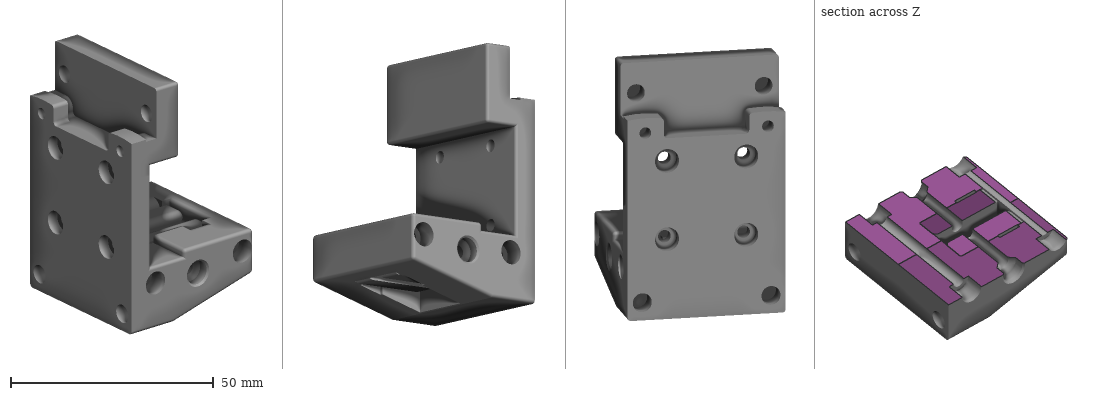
import cadquery as cq
import math

width = 40.0
depth = 38.5
height = 63.8
half_width = width / 2
seam_x = 0.6

plate_thickness = 6.0
ledge_height = 16.45
foot_height = 18.45
foot_step_y = 16.5
slope_start_y = 13.35
slope_angle = 15.0
slope_end_z = (depth - slope_start_y) * math.tan(math.radians(slope_angle))
block_front_y = 7.8
block_back_y = 15.05
block_bottom_z = 43.75
foot_edge_radius = 0.9
upper_edge_radius = 0.75
edge_search_distance = 0.75

notch_floor_z = 46.1
lug_depth = 4.6
lug_inner_x = 10.8
lug_corner_radius = 0.95
lug_side_z = 51.1
lug_crown_z = 51.55
lug_crown_x = 15.55
lug_shoulder_z = 51.35
boss_top_z = 50.5
boss_flat_x = 15.7
boss_radius = 2.95
boss_root_radius = 1.1

slot_half_width = 7.9
slot_front_y = 13.9
slot_back_y = 34.4
slot_lip_radius = 0.95
pocket_front_y = 25.8
pocket_back_y = 32.0
pocket_outer_x = 11.7
pocket_wall_x = 8.7
pocket_radius = pocket_outer_x - pocket_wall_x

jaw_inner_x = 1.9
jaw_bottom_z = 5.15
jaw_top_z = 17.0
jaw_inner_radius = 2.0
jaw_end_radius = 1.1

mount_x = 10.0
mount_heights = (20.35, 40.3)
mount_diameter = 3.2
mount_bore_diameter = 6.05
mount_bore_depth = 3.0

blind_depth = 5.1
upper_pin_x = 16.15
upper_pin_z = 56.0
upper_pin_diameter = 4.45
lower_pin_x = 16.3
lower_pin_z = 4.5
lower_pin_diameter = 4.8
lug_hole_x = 15.5
lug_hole_z = 47.7
lug_hole_diameter = 2.95

front_bolt = (7.5, 12.0)
rear_bolt = (35.0, 13.35)
jaw_relief_diameter = 4.45
bolt_diameter = 3.2
bolt_bore_diameter = 6.05
bolt_bore_depth = 5.1

screw_y = 21.0
screw_z = 11.1
screw_diameter = 3.5
screw_bore_diameter = 6.1
screw_mouth_diameter = 7.1
screw_mouth_depth = (screw_mouth_diameter - screw_bore_diameter) / 2
screw_bore_depth = 3.0
screw_cone_depth = (screw_bore_diameter - screw_diameter) / 2


def box(x_range, y_range, z_range):
    """Box between two limits along each axis."""
    size = [limits[1] - limits[0] for limits in (x_range, y_range, z_range)]
    corner = (x_range[0], y_range[0], z_range[0])
    return cq.Workplane("XY").box(*size, centered=False).translate(corner)


def mirrored_pair(shape):
    """The shape together with its mirror image across X = 0."""
    return shape.union(shape.mirror("YZ"))


def front_cylinder(x, z, diameter, start_y, length):
    """Cylinder along +Y that starts at start_y."""
    plane = cq.Plane(origin=(x, start_y, z), xDir=(1, 0, 0), normal=(0, 1, 0))
    return cq.Workplane(plane).circle(diameter / 2).extrude(length)


def side_cylinder(y, z, diameter, start_x, length):
    """Cylinder along +X that starts at start_x."""
    return cq.Workplane("YZ", origin=(start_x, y, z)).circle(diameter / 2).extrude(length)


def profile_body():
    """Bracket profile extruded across the width, with its outer edges rounded."""
    body = (
        cq.Workplane("YZ", origin=(-half_width, 0, 0))
        .moveTo(0, 0)
        .lineTo(slope_start_y, 0)
        .lineTo(depth, slope_end_z)
        .lineTo(depth, foot_height)
        .lineTo(foot_step_y, foot_height)
        .lineTo(foot_step_y, ledge_height)
        .lineTo(plate_thickness, ledge_height)
        .lineTo(plate_thickness, block_bottom_z)
        .lineTo(block_back_y, block_bottom_z)
        .lineTo(block_back_y, height)
        .lineTo(block_front_y, height)
        .lineTo(block_front_y, notch_floor_z)
        .lineTo(0, notch_floor_z)
        .close()
        .extrude(width)
    )
    foot_edges = (
        (slope_start_y / 2, 0),
        ((slope_start_y + depth) / 2, slope_end_z / 2),
        (depth, (slope_end_z + foot_height) / 2),
        ((foot_step_y + depth) / 2, foot_height),
        (foot_step_y, (ledge_height + foot_height) / 2),
        (depth, slope_end_z),
        (depth, foot_height),
        (foot_step_y, foot_height),
    )
    upper_edges = (
        ((plate_thickness + foot_step_y) / 2, ledge_height),
        (plate_thickness, (ledge_height + block_bottom_z) / 2),
        ((plate_thickness + block_back_y) / 2, block_bottom_z),
        (block_back_y, (block_bottom_z + height) / 2),
        ((block_front_y + block_back_y) / 2, height),
        (block_back_y, block_bottom_z),
        (block_back_y, height),
    )

    def edges_at(places):
        """Edges whose middle lies close to one of the places, seen along X."""
        middles = [(edge, edge.Center()) for edge in body.edges().vals()]
        return [
            edge
            for edge, middle in middles
            if any(math.hypot(middle.y - y, middle.z - z) < edge_search_distance for y, z in places)
        ]

    body = body.newObject(edges_at(foot_edges)).fillet(foot_edge_radius)
    return body.newObject(edges_at(upper_edges)).fillet(upper_edge_radius)


def lug():
    """Right lug: crowned top, rounded inner corner and a fillet down to the notch floor."""
    outline = (
        cq.Workplane("XZ")
        .moveTo(half_width, notch_floor_z)
        .lineTo(half_width, lug_side_z)
        .threePointArc((lug_crown_x, lug_crown_z), (lug_inner_x + lug_corner_radius, lug_shoulder_z))
        .radiusArc((lug_inner_x, lug_shoulder_z - lug_corner_radius), -lug_corner_radius)
        .lineTo(lug_inner_x, notch_floor_z + lug_corner_radius)
        .radiusArc((lug_inner_x - lug_corner_radius, notch_floor_z), lug_corner_radius)
        .close()
    )
    return outline.extrude(-lug_depth)


def boss():
    """Right boss between the lug and the upper block, with a round inner shoulder."""
    wall_x = boss_flat_x - boss_radius
    outline = (
        cq.Workplane("XZ", origin=(0, lug_depth, 0))
        .moveTo(half_width, notch_floor_z)
        .lineTo(half_width, boss_top_z)
        .lineTo(boss_flat_x, boss_top_z)
        .radiusArc((wall_x, boss_top_z - boss_radius), -boss_radius)
        .lineTo(wall_x, notch_floor_z + boss_root_radius)
        .radiusArc((wall_x - boss_root_radius, notch_floor_z), boss_root_radius)
        .close()
    )
    return outline.extrude(lug_depth - block_front_y)


def slot():
    """Slot through the foot for the jaws, widened by a rounded lip at its back end."""
    opening = box((-slot_half_width, slot_half_width), (slot_front_y, slot_back_y), (0, foot_height))
    lip = (
        cq.Workplane("YZ", origin=(-slot_half_width, 0, 0))
        .moveTo(slot_back_y, foot_height)
        .lineTo(slot_back_y, foot_height - slot_lip_radius)
        .radiusArc((slot_back_y + slot_lip_radius, foot_height), slot_lip_radius)
        .close()
        .extrude(2 * slot_half_width)
    )
    return opening.union(lip)


def pocket():
    """Right pocket: it curves down from the top of the foot into an opening beside the slot."""
    outline = (
        cq.Workplane("XZ", origin=(0, pocket_front_y, 0))
        .moveTo(0, 0)
        .lineTo(pocket_wall_x, 0)
        .lineTo(pocket_wall_x, foot_height - pocket_radius)
        .radiusArc((pocket_outer_x, foot_height), pocket_radius)
        .lineTo(0, foot_height)
        .close()
    )
    return outline.extrude(pocket_front_y - pocket_back_y)


def mount_hole(x, z):
    """Through hole in the plate, counterbored from the front."""
    hole = front_cylinder(x, z, mount_diameter, 0, plate_thickness)
    return hole.union(front_cylinder(x, z, mount_bore_diameter, 0, mount_bore_depth))


def blind_holes():
    """Right-hand blind holes in the upper block, the lug and the bottom of the plate."""
    upper = front_cylinder(upper_pin_x, upper_pin_z, upper_pin_diameter, block_front_y, blind_depth)
    lower = front_cylinder(lower_pin_x, lower_pin_z, lower_pin_diameter, 0, blind_depth)
    middle = front_cylinder(lug_hole_x, lug_hole_z, lug_hole_diameter, 0, blind_depth)
    return upper.union(lower).union(middle)


def bolt_hole(y, z):
    """Hole across the full width, counterbored at both ends."""
    bore = side_cylinder(y, z, bolt_bore_diameter, half_width - bolt_bore_depth, bolt_bore_depth)
    return side_cylinder(y, z, bolt_diameter, -half_width, width).union(mirrored_pair(bore))


def screw_hole():
    """Cross hole with a chamfered mouth, a bore and a conical seat at each end."""
    bore_end_x = half_width - screw_bore_depth
    stepped = (
        cq.Workplane("XY")
        .moveTo(0, 0)
        .lineTo(0, screw_diameter / 2)
        .lineTo(bore_end_x - screw_cone_depth, screw_diameter / 2)
        .lineTo(bore_end_x, screw_bore_diameter / 2)
        .lineTo(half_width - screw_mouth_depth, screw_bore_diameter / 2)
        .lineTo(half_width, screw_mouth_diameter / 2)
        .lineTo(half_width, 0)
        .close()
        .revolve(360, (0, 0, 0), (1, 0, 0))
        .translate((0, screw_y, screw_z))
    )
    return mirrored_pair(stepped)


def housing():
    """Whole bracket before it is split at the seam."""
    body = profile_body().union(mirrored_pair(lug())).union(mirrored_pair(boss()))
    body = body.cut(slot()).cut(mirrored_pair(pocket()))
    for z in mount_heights:
        body = body.cut(mirrored_pair(mount_hole(mount_x, z)))
    body = body.cut(mirrored_pair(blind_holes()))
    for y, z in (front_bolt, rear_bolt):
        body = body.cut(bolt_hole(y, z))
    return body.cut(screw_hole())


def housing_half(whole, x_range):
    """The part of the housing on one side of the seam."""
    return whole.intersect(box(x_range, (0, depth), (0, height)))


def jaw(side):
    """Rounded bar in the slot, drilled for the screw and relieved for the rear bolt.

    The side is 1 for the right jaw and -1 for the left jaw.
    """
    bar = box((jaw_inner_x, slot_half_width), (slot_front_y, slot_back_y), (jaw_bottom_z, jaw_top_z))
    bar = bar.edges("<X and >Z").fillet(jaw_inner_radius)
    bar = bar.faces("<Y or >Y").edges("not >X").fillet(jaw_end_radius)
    bar = bar.cut(side_cylinder(*rear_bolt, jaw_relief_diameter, 0, half_width))
    bar = bar.cut(side_cylinder(screw_y, screw_z, screw_diameter, 0, half_width))
    return bar if side > 0 else bar.mirror("YZ")


whole_housing = housing()
left_housing = housing_half(whole_housing, (-half_width, seam_x))
right_housing = housing_half(whole_housing, (seam_x, half_width))
jaws = [jaw(side) for side in (-1, 1)]

result = cq.Compound.makeCompound(
    [left_housing.solids().val(), right_housing.solids().val(), *[bar.solids().val() for bar in jaws]]
)